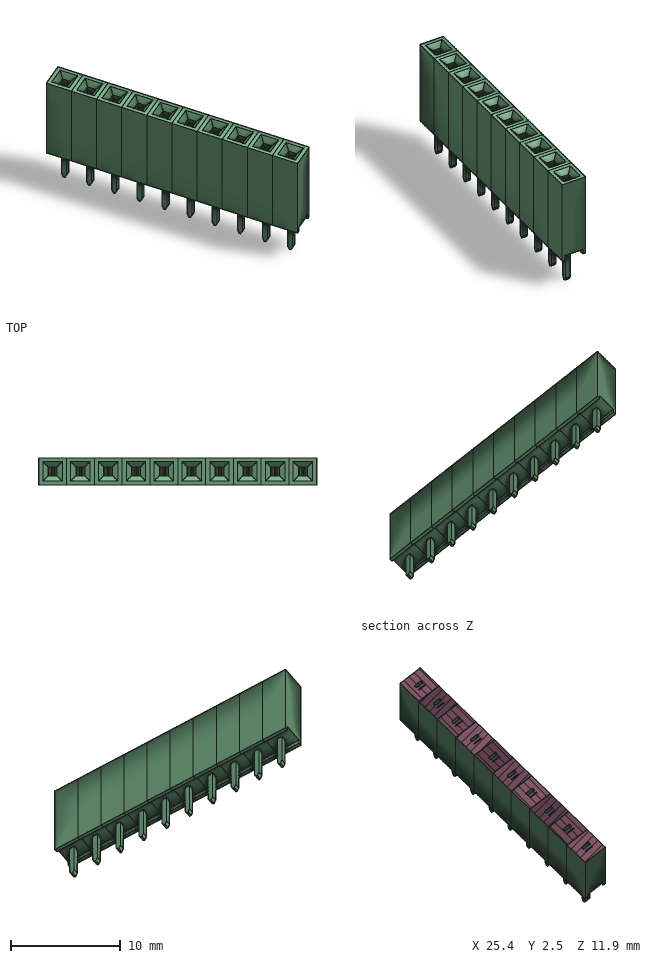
import cadquery as cq
import math


cell_count = 10
row_length = 25.4
pitch = row_length / cell_count

block_width = 2.5
block_height = 8.59
foot_thickness = 0.3
foot_height = 0.48

mouth_width = 1.78
well_width = 0.81
lead_in_angle = 45.0
lead_in_depth = (mouth_width - well_width) / 2 / math.tan(math.radians(lead_in_angle))
well_depth = 3.55

contact_offset = 0.045
prong_thickness = 0.28
prong_gap = 0.25
prong_tip_depth = 1.78
fork_slot_depth = 1.02

pin_width = 0.5
pin_length = 3.3
pin_tip_width = 0.165
pin_tip_height = 0.35

prong_tip_z = block_height - prong_tip_depth
fork_slot_z = prong_tip_z - fork_slot_depth
well_floor_z = block_height - well_depth


def make_block():
    """Square block, open at the bottom between two feet that run along X."""
    block = cq.Workplane("XY").box(pitch, block_width, block_height, centered=(True, True, False))
    channel_width = block_width - 2 * foot_thickness
    channel = cq.Workplane("XY").box(pitch, channel_width, foot_height, centered=(True, True, False))
    return block.cut(channel)


def make_socket():
    """Space of the socket: square well with the tapered lead-in on top."""
    well = (
        cq.Workplane("XY")
        .workplane(offset=well_floor_z)
        .rect(well_width, well_width)
        .extrude(well_depth)
    )
    lead_in = (
        cq.Workplane("XY")
        .workplane(offset=block_height)
        .rect(mouth_width, mouth_width)
        .extrude(-lead_in_depth, taper=lead_in_angle)
    )
    return well.union(lead_in)


def make_fork():
    """Two prongs with round tips; the slot between them ends in two hollows."""
    inner_x = prong_gap / 2
    outer_x = inner_x + prong_thickness
    prong_radius = prong_thickness / 2
    prong_x = inner_x + prong_radius
    shoulder_z = prong_tip_z - prong_radius
    half_chord = prong_gap / 4
    hollow_sag = prong_radius - math.sqrt(prong_radius**2 - half_chord**2)
    hollow_z = fork_slot_z - hollow_sag
    return (
        cq.Workplane("XZ")
        .moveTo(-outer_x, well_floor_z)
        .lineTo(-outer_x, shoulder_z)
        .threePointArc((-prong_x, prong_tip_z), (-inner_x, shoulder_z))
        .lineTo(-inner_x, fork_slot_z)
        .threePointArc((-half_chord, hollow_z), (0, fork_slot_z))
        .threePointArc((half_chord, hollow_z), (inner_x, fork_slot_z))
        .lineTo(inner_x, shoulder_z)
        .threePointArc((prong_x, prong_tip_z), (outer_x, shoulder_z))
        .lineTo(outer_x, well_floor_z)
        .close()
        .extrude(well_width / 2, both=True)
        .translate((contact_offset, 0, 0))
    )


def make_pin():
    """Square pin below the block, its tip tapered on the two X sides."""
    half_width = pin_width / 2
    half_tip = pin_tip_width / 2
    taper_z = pin_tip_height - pin_length
    return (
        cq.Workplane("XZ")
        .moveTo(-half_width, foot_height)
        .lineTo(half_width, foot_height)
        .lineTo(half_width, taper_z)
        .lineTo(half_tip, -pin_length)
        .lineTo(-half_tip, -pin_length)
        .lineTo(-half_width, taper_z)
        .close()
        .extrude(half_width, both=True)
        .translate((contact_offset, 0, 0))
    )


def make_cell(center_x):
    """One complete cell at its place in the row."""
    cell = make_block().cut(make_socket()).union(make_fork()).union(make_pin())
    return cell.translate((center_x, 0, 0))


first_cell_x = (pitch - row_length) / 2
cells = [make_cell(first_cell_x + index * pitch) for index in range(cell_count)]

result = cq.Compound.makeCompound([cell.val() for cell in cells])